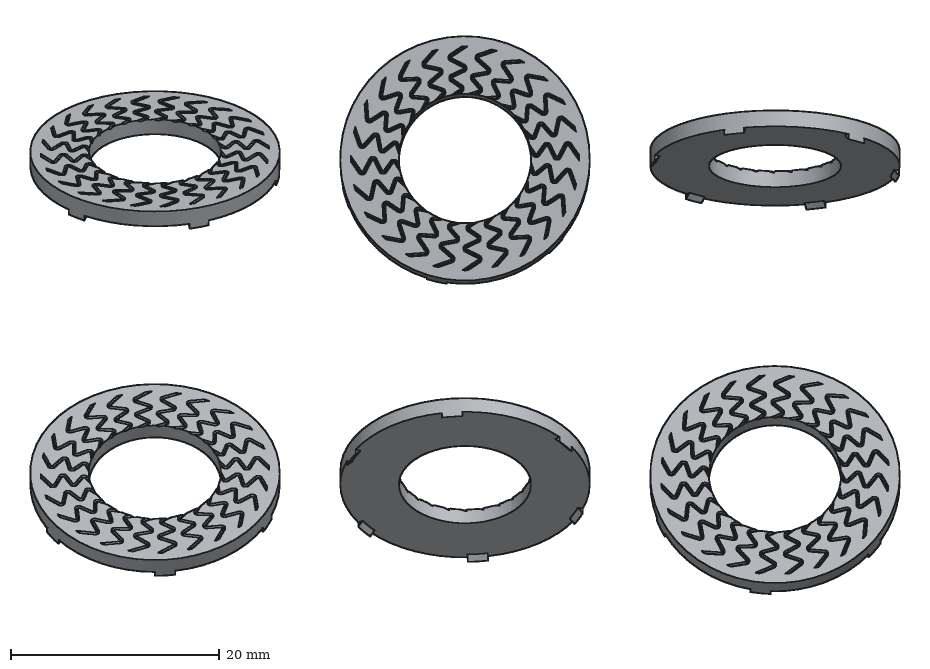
import cadquery as cq
import math

outer_radius = 24.0 / 2
bore_radius = 12.7 / 2
total_height = 2.15

tab_count = 6
tab_height = 0.53
tab_width = 1.97
tab_depth = 0.5

groove_count = 24
groove_depth = 0.15
groove_width = 2 * groove_depth
groove_bend_radius = 0.25
groove_end_radius = 11.0
zigzag_corners = [(0.72, 11.23), (-1.37, 9.9), (0.6, 8.83), (-1.37, 7.97), (0.15, 6.85), (-1.2, 6.02)]


def rotated_about_z(shape, index, count):
    """Copy of the shape turned by index steps of a full circle divided into count steps."""
    return shape.rotate((0, 0, 0), (0, 0, 1), index * 360 / count)


def blank_ring():
    """Plain ring over the full height, tabs included."""
    return cq.Workplane("XY").circle(outer_radius).circle(bore_radius).extrude(total_height)


def space_between_tabs():
    """Disc under the ring, less one bar across the axis for each pair of opposite tabs."""
    space = cq.Workplane("XY").circle(outer_radius + tab_depth).extrude(tab_height)
    bar = cq.Workplane("XY").box(3 * outer_radius, tab_width, 3 * tab_height)
    for index in range(tab_count // 2):
        space = space.cut(rotated_about_z(bar, index, tab_count))
    return space


def recess_inside_tabs():
    """Cone frustum that gives the tabs sloped inner faces and sharp tips at the rim."""
    return (
        cq.Workplane("XZ")
        .polyline([(0, 0), (outer_radius, 0), (outer_radius - tab_depth, tab_height), (0, tab_height)])
        .close()
        .revolve(360, (0, 0, 0), (0, 1, 0))
    )


def rounded_path(corners, radius):
    """Line through the corners on the top face, each bend rounded by a tangent arc."""
    path = cq.Workplane("XY", origin=(0, 0, total_height)).moveTo(*corners[0])
    for before, corner, after in zip(corners, corners[1:], corners[2:]):
        vertex = cq.Vector(*corner)
        toward_before = (cq.Vector(*before) - vertex).normalized()
        toward_after = (cq.Vector(*after) - vertex).normalized()
        bisector = (toward_before + toward_after).normalized()
        half_angle = toward_before.getAngle(toward_after) / 2
        tangent_length = radius / math.tan(half_angle)
        start = vertex + toward_before * tangent_length
        middle = vertex + bisector * (radius / math.sin(half_angle) - radius)
        end = vertex + toward_after * tangent_length
        path = path.lineTo(start.x, start.y)
        path = path.threePointArc((middle.x, middle.y), (end.x, end.y))
    return path.lineTo(*corners[-1])


def groove_cutter():
    """V profile swept along the zigzag and trimmed by a cylinder at its outer end."""
    first_corner = cq.Vector(*zigzag_corners[0])
    heading = cq.Vector(*zigzag_corners[1]) - first_corner
    profile_plane = cq.Plane(
        origin=(first_corner.x, first_corner.y, total_height),
        xDir=(-heading.y, heading.x, 0),
        normal=(heading.x, heading.y, 0),
    )
    swept = (
        cq.Workplane(profile_plane)
        .polyline([(-groove_width / 2, 0), (groove_width / 2, 0), (0, -groove_depth)])
        .close()
        .sweep(rounded_path(zigzag_corners, groove_bend_radius))
    )
    end_limit = cq.Workplane("XY").circle(groove_end_radius).extrude(2 * total_height)
    return swept.intersect(end_limit)


body = blank_ring().cut(space_between_tabs()).cut(recess_inside_tabs())
cutter = groove_cutter()
for groove_index in range(groove_count):
    body = body.cut(rotated_about_z(cutter, groove_index, groove_count))

result = cq.Workplane(body.solids().val())